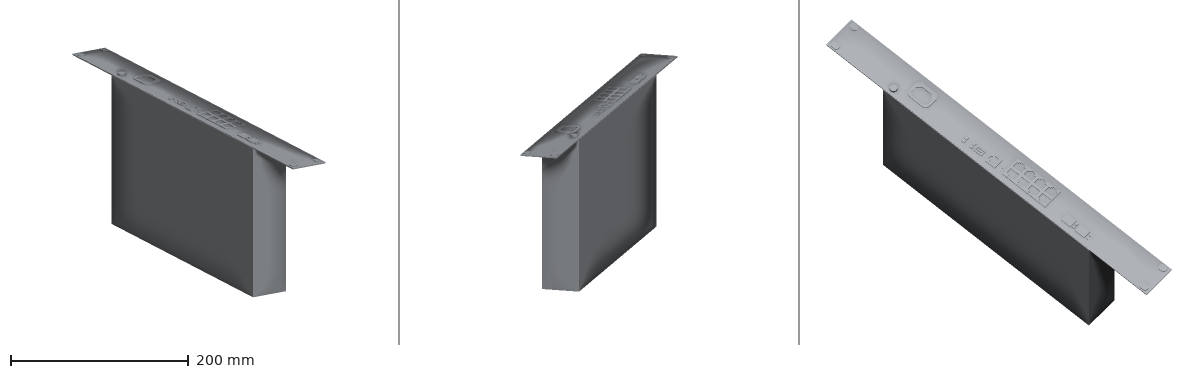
import cadquery as cq

panel_length = 482.5
body_depth = 43.5
overall_height = 180.0

body_length = 310.0

panel_thickness = 1.5
panel_setback = 0.5
panel_depth = body_depth - panel_setback
panel_center_y = panel_setback / 2

screw_diameter = 8.5
screw_height = 3.0
relief = 1.0
panel_top = overall_height - screw_height
body_height = panel_top - panel_thickness / 2
screw_center = (-146.5, -13.5)

mount_spacing_x = 465.0
mount_spacing_y = 32.0
mount_length = 10.5
mount_width = 7.5

inlet_center = (-117.0, 2.5)
inlet_length, inlet_width, inlet_radius = 31.0, 23.0, 6.8
socket_center = (-117.0, 1.5)
socket_length, socket_width = 24.5, 16.0
socket_top_chamfer, socket_bottom_chamfer = 6.0, 4.0

jack_width, jack_height = 12.5, 7.0
latch_steps = [(7.5, 1.5), (5.0, 1.5)]
latch_height = sum(height for _, height in latch_steps)

block_center = (49.5, -0.5)
block_length, block_width = 64.0, 26.5
jack_columns = 4
jack_pitch = 16.0
jack_row_gap = 3.5
jacks_center_x = 50.0

console_center = (-1.0, -7.0)
console_length, console_width = 14.0, 13.5
console_corner = 3.0

usb_center = (-21.0, -8.5)
usb_length, usb_width = 11.5, 7.5
usb_wall = 1.5
usb_tongue_length, usb_tongue_width = 6.5, 1.5

cage_length, cage_width = 14.0, 10.0
cage_center_y = -8.5
cage_centers_x = [113.0, 133.5]

lamp_size = 3.5
lamp_pitch = 5.0
lamp_center_y = -8.5
lamp_columns_x = [-43.0, -31.5, 122.5, 144.5]

button_center = (13.0, -6.8)
button_length, button_width = 2.0, 3.5


def raised_block(length, width, center):
    """A low rectangular block standing on the panel."""
    x, y = center
    return cq.Workplane("XY", origin=(x, y, panel_top)).rect(length, width).extrude(relief)


def pocket(outline, center):
    """A cutter that reaches from the relief top down to the panel face."""
    x, y = center
    return outline.extrude(relief).translate((x, y, panel_top))


def jack_opening(center, latch_side):
    """Jack opening centred on its full height; latch_side is 1 for up and -1 for down."""
    edge = jack_height / 2 - latch_height / 2
    outline = cq.Workplane("XY").center(0, -latch_side * latch_height / 2).rect(jack_width, jack_height)
    opening = pocket(outline, center)
    for width, height in latch_steps:
        step = cq.Workplane("XY").center(0, latch_side * (edge + height / 2)).rect(width, height)
        opening = opening.union(pocket(step, center))
        edge += height
    return opening


def mount_pads():
    return (
        cq.Workplane("XY", origin=(0, panel_center_y, panel_top))
        .rarray(mount_spacing_x, mount_spacing_y, 2, 2)
        .slot2D(mount_length, mount_width)
        .extrude(relief)
    )


def mains_inlet():
    frame = raised_block(inlet_length, inlet_width, inlet_center).edges("|Z").fillet(inlet_radius)
    socket = pocket(cq.Workplane("XY").rect(socket_length, socket_width), socket_center)
    socket = socket.faces(">Y").edges("|Z").chamfer(socket_top_chamfer)
    socket = socket.faces("<Y").edges("|Z").chamfer(socket_bottom_chamfer)
    return frame.cut(socket)


def jack_block():
    center_y = block_center[1]
    block = raised_block(block_length, block_width, block_center)
    row_offset = (jack_height + latch_height + jack_row_gap) / 2
    for column in range(jack_columns):
        x = jacks_center_x + (column - (jack_columns - 1) / 2) * jack_pitch
        for side in (1, -1):
            block = block.cut(jack_opening((x, center_y + side * row_offset), side))
    return block


def console_jack():
    opening = jack_opening(console_center, -1)
    opening = opening.faces(">Y").edges("|Z").chamfer(console_corner)
    return raised_block(console_length, console_width, console_center).cut(opening)


def usb_port():
    opening = cq.Workplane("XY").rect(usb_length - 2 * usb_wall, usb_width - 2 * usb_wall)
    shell = raised_block(usb_length, usb_width, usb_center).cut(pocket(opening, usb_center))
    return shell.union(raised_block(usb_tongue_length, usb_tongue_width, usb_center))


def small_blocks():
    """Module cages, lamps and the reset button."""
    blocks = [raised_block(button_length, button_width, button_center)]
    for x in cage_centers_x:
        blocks.append(raised_block(cage_length, cage_width, (x, cage_center_y)))
    for x in lamp_columns_x:
        for side in (1, -1):
            center = (x, lamp_center_y + side * lamp_pitch / 2)
            blocks.append(raised_block(lamp_size, lamp_size, center))
    return blocks


body = cq.Workplane("XY").box(body_length, body_depth, body_height, centered=(True, True, False))
panel = (
    cq.Workplane("XY", origin=(0, panel_center_y, panel_top - panel_thickness))
    .rect(panel_length, panel_depth)
    .extrude(panel_thickness)
)
ground_screw = (
    cq.Workplane("XY", origin=(*screw_center, panel_top)).circle(screw_diameter / 2).extrude(screw_height)
)

result = body.union(panel).union(ground_screw).union(mount_pads())
result = result.union(mains_inlet()).union(jack_block()).union(console_jack()).union(usb_port())
for block in small_blocks():
    result = result.union(block)